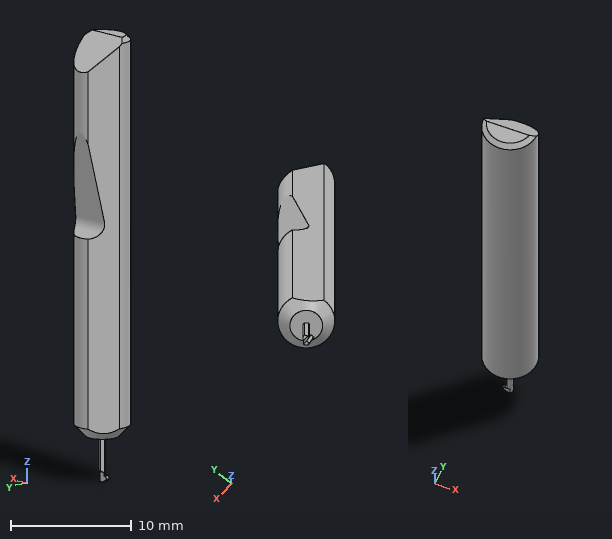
import cadquery as cq
import math

total_length = 38.1
shank_diameter = 4.7625
shank_radius = shank_diameter / 2

neck_length = 3.9
neck_radius = 0.28
nose_height = 1.03
nose_end_radius = 1.36

rear_chamfer = 0.4
rear_bevel_edge_y = -0.5

side_flat_normal_angle = 143.5
side_flat_distance = 1.985
neck_flat_distance = side_flat_distance * neck_radius / shank_radius

notch_bottom_z = 21.1
notch_depth = 1.25
notch_radius = 1.25
notch_top_z = 30.05

rake_face_y = 0.05
rake_length = 0.85
rake_runout = 0.15
tooth_point_x = -0.65
tooth_point_z = 0.33
tooth_shoulder_x = -0.4
tooth_top_z = 0.57
tooth_inner_x = 0.1
tip_heel_x = -0.1

cut_span = 2 * shank_diameter


def make_shank():
    """Round shank with a nose cone below and a chamfered rear end."""
    profile = [
        (0, neck_length),
        (nose_end_radius, neck_length),
        (shank_radius, neck_length + nose_height),
        (shank_radius, total_length - rear_chamfer),
        (shank_radius - rear_chamfer, total_length),
        (0, total_length),
    ]
    return cq.Workplane("XZ").polyline(profile).close().revolve(360, (0, 0), (0, 1))


def make_side_flat_cutter(distance, start_z):
    """Block above start_z whose inner face is a flat facing -X and +Y, at a distance from the axis."""
    block = cq.Workplane("XY").box(cut_span, cut_span, total_length, centered=(False, True, False))
    block = block.translate((distance, 0, start_z))
    return block.rotate((0, 0, 0), (0, 0, 1), side_flat_normal_angle)


def make_rear_bevel_cutter():
    """Wedge above the 45 degree bevel that falls towards +Y."""
    profile = [
        (rear_bevel_edge_y, total_length),
        (rear_bevel_edge_y + cut_span, total_length),
        (rear_bevel_edge_y + cut_span, total_length - cut_span),
    ]
    return cq.Workplane("YZ").polyline(profile).close().extrude(cut_span / 2, both=True)


def make_notch_cutter():
    """Notch with a square lower shoulder, a round corner and a sloping floor."""
    floor_y = shank_radius - notch_depth
    corner_y = floor_y + notch_radius
    corner_z = notch_bottom_z + notch_radius
    rise = notch_top_z - corner_z
    run = shank_radius - corner_y
    tangent_angle = math.atan2(rise, run) + math.acos(notch_radius / math.hypot(run, rise))
    tangent_point = (
        corner_y + notch_radius * math.cos(tangent_angle),
        corner_z + notch_radius * math.sin(tangent_angle),
    )
    lowest_angle = 1.5 * math.pi
    middle_angle = (tangent_angle + lowest_angle) / 2
    middle_point = (
        corner_y + notch_radius * math.cos(middle_angle),
        corner_z + notch_radius * math.sin(middle_angle),
    )
    return (
        cq.Workplane("YZ")
        .moveTo(shank_radius, notch_top_z)
        .lineTo(*tangent_point)
        .threePointArc(middle_point, (corner_y, notch_bottom_z))
        .lineTo(shank_diameter, notch_bottom_z)
        .lineTo(shank_diameter, notch_top_z)
        .close()
        .extrude(cut_span / 2, both=True)
    )


def make_neck():
    """Thin round neck with a side flat, cut back to the rake face and relieved below the tooth."""
    neck = cq.Workplane("XY").circle(neck_radius).extrude(neck_length + nose_height)
    rake_cut = (
        cq.Workplane("YZ")
        .moveTo(rake_face_y, 0)
        .lineTo(rake_face_y, rake_length)
        .lineTo(neck_radius, rake_length + rake_runout)
        .lineTo(shank_radius, rake_length + rake_runout)
        .lineTo(shank_radius, 0)
        .close()
        .extrude(shank_radius, both=True)
    )
    tip_relief = (
        cq.Workplane("XZ")
        .polyline([(tooth_point_x, tooth_point_z), (tip_heel_x, 0), (tooth_point_x, 0)])
        .close()
        .extrude(shank_radius, both=True)
    )
    return neck.cut(make_side_flat_cutter(neck_flat_distance, 0)).cut(rake_cut).cut(tip_relief)


def make_tooth():
    """Pointed cutting tooth reaching towards -X, as deep as the neck behind the rake face."""
    outline = [
        (tooth_inner_x, tooth_top_z),
        (tooth_shoulder_x, tooth_top_z),
        (tooth_point_x, tooth_point_z),
        (tip_heel_x, 0),
        (tooth_inner_x, 0),
    ]
    tooth = cq.Workplane("XZ", origin=(0, rake_face_y, 0)).polyline(outline).close()
    return tooth.extrude(rake_face_y + neck_radius)


shank = make_shank()
shank = shank.cut(make_rear_bevel_cutter())
shank = shank.cut(make_notch_cutter())
shank = shank.cut(make_side_flat_cutter(side_flat_distance, neck_length))
result = shank.union(make_neck()).union(make_tooth())